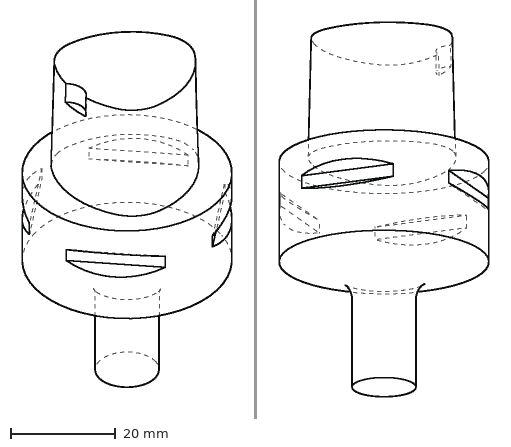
import cadquery as cq
import math

TOTAL_HEIGHT = 69.0
BODY_BOTTOM = 25.05
BODY_TOP = 45.1

BODY_RADIUS = 40.0 / 2
STEM_RADIUS = 12.2 / 2
CONE_ANGLE = math.radians(15)
STEM_FILLET = 5.0

LOBE_REACH = 15.0
ARC_CENTER_OFFSET = 6.55
SHANK_TAPER = 1 / 40

NOTCH_RADIUS = 3.9
NOTCH_CENTER_Y = -14.85
NOTCH_DEPTH = 4.2

GROOVE_COUNT = 4
GROOVE_FIRST_ANGLE = 45
GROOVE_HEIGHT_Z = 37.1
GROOVE_FLOOR_HEIGHT = 2.5
GROOVE_FLOOR_DISTANCE = 17.6
GROOVE_WALL_ANGLE = math.radians(30)


def polar(radius, degrees):
    angle = math.radians(degrees)
    return radius * math.cos(angle), radius * math.sin(angle)


def turned_body():
    """Stem, filleted conical shoulder and cylindrical body, revolved about Z."""
    cone_inner_z = BODY_BOTTOM - (BODY_RADIUS - STEM_RADIUS) * math.tan(CONE_ANGLE)
    fillet_turn = math.pi / 2 - CONE_ANGLE
    tangent_length = STEM_FILLET * math.tan(fillet_turn / 2)
    fillet_bottom_z = cone_inner_z - tangent_length
    center_r = STEM_RADIUS + STEM_FILLET

    def fillet_point(turn):
        return (
            center_r - STEM_FILLET * math.cos(turn),
            fillet_bottom_z + STEM_FILLET * math.sin(turn),
        )

    return (
        cq.Workplane("XZ")
        .lineTo(STEM_RADIUS, 0)
        .lineTo(STEM_RADIUS, fillet_bottom_z)
        .threePointArc(fillet_point(fillet_turn / 2), fillet_point(fillet_turn))
        .lineTo(BODY_RADIUS, BODY_BOTTOM)
        .lineTo(BODY_RADIUS, BODY_TOP)
        .lineTo(0, BODY_TOP)
        .close()
        .revolve(360, (0, 0, 0), (0, 1, 0))
    )


def lobed_outline(plane, lobe_reach):
    """Three lobes and three broad flanks as tangent arcs, with one lobe on +Y."""
    lobe_radius = lobe_reach - ARC_CENTER_OFFSET
    flank_reach = lobe_reach - (2 - math.sqrt(3)) * ARC_CENTER_OFFSET

    def junction(lobe_angle, side):
        center_x, center_y = polar(ARC_CENTER_OFFSET, lobe_angle)
        offset_x, offset_y = polar(lobe_radius, lobe_angle + side * 30)
        return center_x + offset_x, center_y + offset_y

    outline = plane.moveTo(*junction(90, -1))
    for lobe_angle in (90, 210, 330):
        outline = outline.threePointArc(polar(lobe_reach, lobe_angle), junction(lobe_angle, 1))
        flank_middle = polar(flank_reach, lobe_angle + 60)
        outline = outline.threePointArc(flank_middle, junction(lobe_angle + 120, -1))
    return outline.close()


def shank():
    height = TOTAL_HEIGHT - BODY_TOP
    base = lobed_outline(cq.Workplane("XY").workplane(offset=BODY_TOP), LOBE_REACH)
    top_plane = base.workplane(offset=height)
    return lobed_outline(top_plane, LOBE_REACH - height * SHANK_TAPER).loft(ruled=True, combine=True)


def drive_notch():
    return (
        cq.Workplane("XY")
        .workplane(offset=TOTAL_HEIGHT - NOTCH_DEPTH)
        .center(0, NOTCH_CENTER_Y)
        .circle(NOTCH_RADIUS)
        .extrude(NOTCH_DEPTH)
    )


def gripper_groove(angle):
    """Straight groove with a flat floor and flared walls, facing the given direction."""
    floor_half = GROOVE_FLOOR_HEIGHT / 2
    mouth_half = floor_half + (BODY_RADIUS - GROOVE_FLOOR_DISTANCE) * math.tan(GROOVE_WALL_ANGLE)
    return (
        cq.Workplane("XZ")
        .polyline([
            (GROOVE_FLOOR_DISTANCE, GROOVE_HEIGHT_Z - floor_half),
            (BODY_RADIUS, GROOVE_HEIGHT_Z - mouth_half),
            (BODY_RADIUS, GROOVE_HEIGHT_Z + mouth_half),
            (GROOVE_FLOOR_DISTANCE, GROOVE_HEIGHT_Z + floor_half),
        ])
        .close()
        .extrude(BODY_RADIUS, both=True)
        .rotate((0, 0, 0), (0, 0, 1), angle)
    )


result = turned_body().union(shank()).cut(drive_notch())
for index in range(GROOVE_COUNT):
    result = result.cut(gripper_groove(GROOVE_FIRST_ANGLE + index * 360 / GROOVE_COUNT))